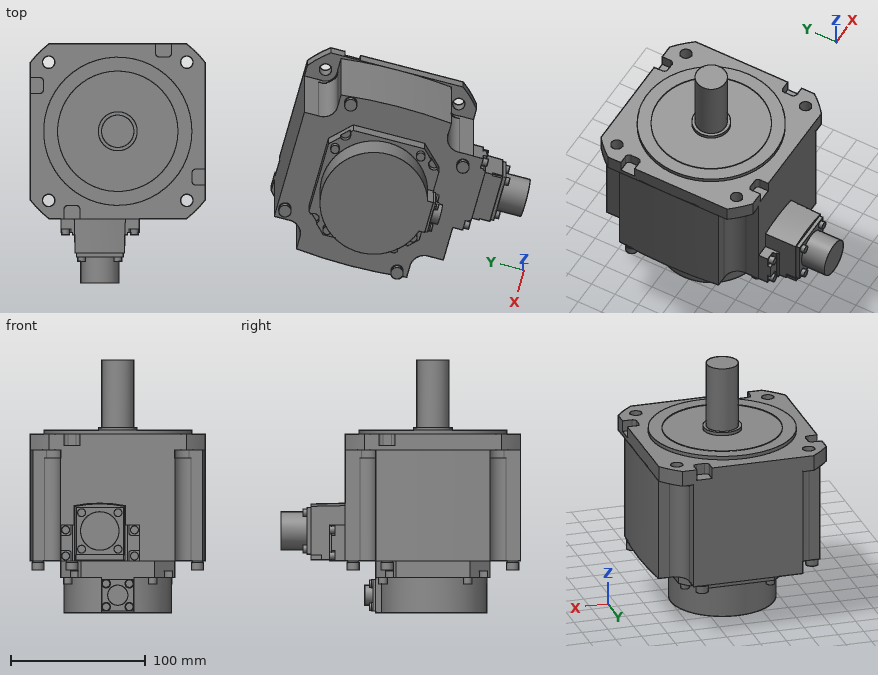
import cadquery as cq
import math

total_height = 187.5
shoulder_top = 137.2
pilot_top = 135.4
flange_top = 132.5
flange_bottom = 120.8
collar_bottom = 115.0
body_bottom = 38.6
adapter_bottom = 26.0

shaft_diameter = 24.0
shoulder_diameter = 28.9
pilot_diameter = 109.9
pilot_recess_diameter = 89.2
pilot_recess_depth = 0.5
flange_side = 130.0
flange_corner_diameter = 165.0
mount_hole_offset = 51.2
mount_hole_diameter = 9.0
half_flange = flange_side / 2

arm_half_width = 42.4
bowed_side_edge = 62.6
scoop_edge = 54.2
collar_scoop_edge = 52.9
scoop_sagitta = 4.0

bolt_side_offset = 34.0
bolt_face_offset = 59.0
bolt_neck_diameter = 8.0
bolt_neck_length = 1.3
bolt_head_diameter = 9.2
bolt_end = 31.7
bolt_pocket_width = 11.8
bolt_pocket_depth = 10.0
bolt_pocket_height = 8.5
bolt_pocket_radius = 2.8

adapter_half_width = 42.4
adapter_chamfer = 15.0
adapter_pocket_center = (-32.2, -37.5)
adapter_pocket_radius = 4.1
adapter_pocket_height = 4.9
cover_radius = 40.0
cover_screw_center = (-37.0, -25.9)
cover_screw_diameter = 6.4
cover_screw_length = 4.5

encoder_pad_width = 24.4
encoder_center_z = 13.1
encoder_plate_side = 23.6
encoder_plate_thickness = 1.9
encoder_plug_diameter = 15.0
encoder_plug_end = -50.6
encoder_screw_offset = 8.6
encoder_washer_diameter = 6.4
encoder_washer_thickness = 1.1
encoder_screw_diameter = 5.6
encoder_screw_height = 1.7

base_left = -42.2
base_right = 16.0
base_top = 65.0
base_front = -75.2
base_pad_front = -76.7
base_pad_margin = 8.6
ear_pocket_width = 7.7
ear_pocket_depth = 2.6
ear_pocket_radius = 2.2
ear_screw_inset = 3.5
ear_screw_diameter = 5.8

plug_x = -13.3
plug_z = 60.8
box_rear_width = 37.9
box_front_width = 36.8
box_bottom = 39.4
box_rear_top = 81.4
box_front_top = 80.8
box_crown_rise = 1.9
box_front = -90.4
lip_rear = -82.5
lip_height = 3.5
lip_width = 35.2
plug_plate_side = 34.9
plug_plate_thickness = 2.8
plug_diameter = 28.5
overall_depth = 177.5
plug_end = half_flange - overall_depth
plug_screw_offset = 13.5
plug_screw_diameter = 5.8
plug_screw_height = 3.2


def block(x_range, y_range, z_range):
    """Box between pairs of coordinates."""
    size = [high - low for low, high in (x_range, y_range, z_range)]
    corner = (x_range[0], y_range[0], z_range[0])
    return cq.Workplane("XY").box(*size, centered=False).translate(corner)


def post(diameter, bottom, top, center=(0, 0)):
    """Upright cylinder."""
    return cq.Workplane("XY", origin=(*center, bottom)).circle(diameter / 2).extrude(top - bottom)


def stud(diameter, rear, front, x, z):
    """Cylinder pointing to -Y, from y = rear to y = front."""
    return cq.Workplane("XZ", origin=(x, rear, z)).circle(diameter / 2).extrude(rear - front)


def plate(width, height, rear, front, x, z):
    """Rectangular plate pointing to -Y, centred on x and z."""
    return cq.Workplane("XZ", origin=(x, rear, z)).rect(width, height).extrude(rear - front)


def four_times(shape):
    """The shape repeated every quarter turn about the shaft axis."""
    ring = shape
    for turn in (90, 180, 270):
        ring = ring.union(shape.rotate((0, 0, 0), (0, 0, 1), turn))
    return ring


def square_pattern(x, z, offset):
    """Corner points of a square centred on x and z."""
    return [(x + i * offset, z + j * offset) for i in (-1, 1) for j in (-1, 1)]


def body_section(bottom, top, edge):
    """Cross-shaped layer of the body; edge is where the corner scoop meets the arms."""
    scoop_middle = (arm_half_width + edge) / 2 - scoop_sagitta / math.sqrt(2)
    arm = arm_half_width
    side = bowed_side_edge
    return (
        cq.Workplane("XY", origin=(0, 0, bottom))
        .moveTo(-arm, -half_flange)
        .lineTo(arm, -half_flange)
        .lineTo(arm, -edge)
        .threePointArc((scoop_middle, -scoop_middle), (edge, -arm))
        .lineTo(side, -arm)
        .threePointArc((half_flange, 0), (side, arm))
        .lineTo(edge, arm)
        .threePointArc((scoop_middle, scoop_middle), (arm, edge))
        .lineTo(arm, half_flange)
        .lineTo(-arm, half_flange)
        .lineTo(-arm, edge)
        .threePointArc((-scoop_middle, scoop_middle), (-edge, arm))
        .lineTo(-side, arm)
        .threePointArc((-half_flange, 0), (-side, -arm))
        .lineTo(-edge, -arm)
        .threePointArc((-scoop_middle, -scoop_middle), (-arm, -edge))
        .close()
        .extrude(top - bottom)
    )


def make_flange():
    square = block((-half_flange, half_flange), (-half_flange, half_flange), (flange_bottom, flange_top))
    flange = square.intersect(post(flange_corner_diameter, flange_bottom, flange_top))
    for center in square_pattern(0, 0, mount_hole_offset):
        flange = flange.cut(post(mount_hole_diameter, flange_bottom, flange_top, center))
    left = -bolt_side_offset - bolt_pocket_width / 2
    pocket = block(
        (left, left + bolt_pocket_width),
        (-half_flange, -half_flange + bolt_pocket_depth),
        (flange_top - bolt_pocket_height, flange_top),
    )
    pocket = pocket.edges("|Z and >Y").fillet(bolt_pocket_radius)
    return flange.cut(four_times(pocket))


def make_shaft_end():
    recess_floor = pilot_top - pilot_recess_depth
    pilot = post(pilot_diameter, flange_top, pilot_top)
    pilot = pilot.cut(post(pilot_recess_diameter, recess_floor, pilot_top))
    shoulder = post(shoulder_diameter, flange_top, shoulder_top)
    return pilot.union(shoulder).union(post(shaft_diameter, flange_top, total_height))


def make_body():
    body = body_section(body_bottom, collar_bottom, scoop_edge)
    body = body.union(body_section(collar_bottom, flange_bottom, collar_scoop_edge))
    center = (-bolt_side_offset, -bolt_face_offset)
    neck_end = body_bottom - bolt_neck_length
    bolt = post(bolt_neck_diameter, neck_end, body_bottom, center)
    bolt = bolt.union(post(bolt_head_diameter, bolt_end, neck_end, center))
    return body.union(four_times(bolt))


def make_encoder():
    half = adapter_half_width
    adapter = block((-half, half), (-half, half), (adapter_bottom, body_bottom))
    adapter = adapter.edges("|Z").chamfer(adapter_chamfer)
    pocket_top = adapter_bottom + adapter_pocket_height
    pocket = post(2 * adapter_pocket_radius, adapter_bottom, pocket_top, adapter_pocket_center)
    adapter = adapter.cut(four_times(pocket))
    screw_end = adapter_bottom - cover_screw_length
    screw = post(cover_screw_diameter, screw_end, adapter_bottom, cover_screw_center)
    cover = post(2 * cover_radius, 0, adapter_bottom)
    pad = block((-encoder_pad_width / 2, encoder_pad_width / 2), (-half, 0), (0, adapter_bottom))
    return adapter.union(four_times(screw)).union(cover).union(pad)


def make_encoder_connector():
    rear = -adapter_half_width
    front = rear - encoder_plate_thickness
    washer_front = front - encoder_washer_thickness
    screw_front = washer_front - encoder_screw_height
    connector = plate(encoder_plate_side, encoder_plate_side, rear, front, 0, encoder_center_z)
    connector = connector.union(stud(encoder_plug_diameter, front, encoder_plug_end, 0, encoder_center_z))
    for x, z in square_pattern(0, encoder_center_z, encoder_screw_offset):
        connector = connector.union(stud(encoder_washer_diameter, front, washer_front, x, z))
        connector = connector.union(stud(encoder_screw_diameter, washer_front, screw_front, x, z))
    return connector


def make_terminal_base():
    base = block((base_left, base_right), (base_front, -half_flange), (body_bottom, base_top))
    pad = block(
        (base_left + base_pad_margin, base_right - base_pad_margin),
        (base_pad_front, base_front),
        (body_bottom, base_top),
    )
    base = base.union(pad)
    floor = base_front + ear_pocket_depth
    corners = [(base_left, 1), (base_right, -1)]
    for edge_x, inward_x in corners:
        for edge_z, inward_z in ((body_bottom, 1), (base_top, -1)):
            inner_x = edge_x + inward_x * ear_pocket_width
            inner_z = edge_z + inward_z * ear_pocket_width
            pocket = block(
                sorted((edge_x, inner_x)),
                (base_front, floor),
                sorted((edge_z, inner_z)),
            )
            inner_edge = cq.selectors.NearestToPointSelector((inner_x, (base_front + floor) / 2, inner_z))
            pocket = pocket.edges("|Y").edges(inner_edge).fillet(ear_pocket_radius)
            base = base.cut(pocket)
            screw_x = edge_x + inward_x * ear_screw_inset
            screw_z = edge_z + inward_z * ear_screw_inset
            base = base.union(stud(ear_screw_diameter, floor, base_pad_front, screw_x, screw_z))
    return base


def box_outline(plane, width, top):
    """Box cross-section centred on the plane: straight sides and an arched top."""
    half = width / 2
    shoulder = top - box_crown_rise
    return (
        plane.moveTo(-half, box_bottom)
        .lineTo(half, box_bottom)
        .lineTo(half, shoulder)
        .threePointArc((0, top), (-half, shoulder))
        .close()
    )


def make_power_connector():
    box = (
        box_outline(cq.Workplane("XZ", origin=(plug_x, -half_flange, 0)), box_rear_width, box_rear_top)
        .workplane(offset=-half_flange - box_front)
    )
    box = box_outline(box, box_front_width, box_front_top).loft(combine=True)
    lip_top = box_bottom + lip_height
    for inner, outer in ((-lip_width / 2, -box_rear_width / 2), (lip_width / 2, box_rear_width / 2)):
        sides = sorted((plug_x + inner, plug_x + outer))
        box = box.cut(block(sides, (box_front, lip_rear), (box_bottom, lip_top)))
    plate_front = box_front - plug_plate_thickness
    screw_front = plate_front - plug_screw_height
    connector = box.union(plate(plug_plate_side, plug_plate_side, box_front, plate_front, plug_x, plug_z))
    connector = connector.union(stud(plug_diameter, plate_front, plug_end, plug_x, plug_z))
    for x, z in square_pattern(plug_x, plug_z, plug_screw_offset):
        connector = connector.union(stud(plug_screw_diameter, plate_front, screw_front, x, z))
    return connector


result = (
    make_body()
    .union(make_flange())
    .union(make_shaft_end())
    .union(make_encoder())
    .union(make_encoder_connector())
    .union(make_terminal_base())
    .union(make_power_connector())
)